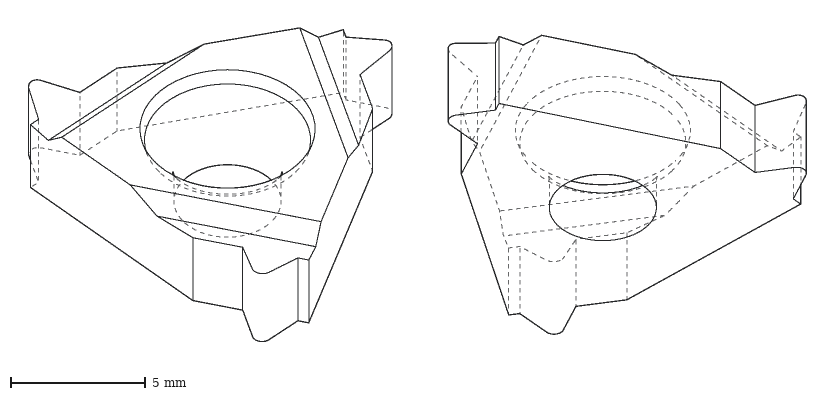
import cadquery as cq
import math

thickness = 3.65
corner_count = 3
corner_angle = 360 / corner_count

side_distance = 4.76
corner_distance = 5.65

tooth_offset = 3.27
tooth_half_width = 1.07
tooth_half_angle = math.radians(30)
tip_radius = 0.37

groove_start = 3.97
groove_bottom = 4.69
groove_depth = 0.63
rake_angle = math.radians(10)
cutter_reach = 8.45

mouth_radius = 3.27
seat_radius = 3.1
bore_radius = 2.0
mouth_depth = 0.56
seat_depth = 2.38


def turn_to_corners(shape):
    """Union of copies of the shape, one turned to each corner."""
    copies = shape
    for index in range(1, corner_count):
        copies = copies.union(shape.rotate((0, 0, 0), (0, 0, 1), index * corner_angle))
    return copies


def make_body():
    """Triangular plate with a flat across each corner."""
    flat_start = math.sqrt(3) * corner_distance - 2 * side_distance
    points = []
    for index in range(corner_count):
        turn = math.radians(index * corner_angle)
        for x in (flat_start, side_distance):
            points.append((
                x * math.cos(turn) + corner_distance * math.sin(turn),
                x * math.sin(turn) - corner_distance * math.cos(turn),
            ))
    return cq.Workplane("XY").polyline(points).close().extrude(thickness)


def make_tooth():
    """Rounded V tooth pointing to -Y, rooted inside the body."""
    sharp_tip_y = -corner_distance - tooth_half_width / math.tan(tooth_half_angle)
    arc_center_y = sharp_tip_y + tip_radius / math.sin(tooth_half_angle)
    tangent_x = tip_radius * math.cos(tooth_half_angle)
    tangent_y = arc_center_y - tip_radius * math.sin(tooth_half_angle)
    return (
        cq.Workplane("XY")
        .moveTo(tooth_offset - tooth_half_width, -groove_bottom)
        .lineTo(tooth_offset - tooth_half_width, -corner_distance)
        .lineTo(tooth_offset - tangent_x, tangent_y)
        .threePointArc(
            (tooth_offset, arc_center_y - tip_radius),
            (tooth_offset + tangent_x, tangent_y),
        )
        .lineTo(tooth_offset + tooth_half_width, -corner_distance)
        .lineTo(tooth_offset + tooth_half_width, -groove_bottom)
        .close()
        .extrude(thickness)
    )


def make_groove_cutter():
    """Prism along X: a steep inner wall, then a rake face rising to the tooth tip."""
    bottom_z = thickness - groove_depth
    outer_z = bottom_z + (cutter_reach - groove_bottom) * math.tan(rake_angle)
    return (
        cq.Workplane("YZ")
        .moveTo(-groove_start, thickness)
        .lineTo(-groove_bottom, bottom_z)
        .lineTo(-cutter_reach, outer_z)
        .lineTo(-cutter_reach, thickness + groove_depth)
        .lineTo(-groove_start, thickness + groove_depth)
        .close()
        .extrude(cutter_reach, both=True)
    )


def make_hole_cutter():
    """Tapered mouth, flared seat that runs tangent into a straight bore."""
    flare_width = seat_radius - bore_radius
    flare_height = seat_depth - mouth_depth
    flare_radius = (flare_width**2 + flare_height**2) / (2 * flare_width)
    half_sweep = math.asin(flare_height / flare_radius) / 2
    bore_top = thickness - seat_depth
    flare_middle = (
        bore_radius + flare_radius * (1 - math.cos(half_sweep)),
        bore_top + flare_radius * math.sin(half_sweep),
    )
    return (
        cq.Workplane("XZ")
        .lineTo(bore_radius, 0)
        .lineTo(bore_radius, bore_top)
        .threePointArc(flare_middle, (seat_radius, thickness - mouth_depth))
        .lineTo(mouth_radius, thickness)
        .lineTo(0, thickness)
        .close()
        .revolve(360, (0, 0, 0), (0, 1, 0))
    )


result = (
    make_body()
    .union(turn_to_corners(make_tooth()))
    .cut(turn_to_corners(make_groove_cutter()))
    .cut(make_hole_cutter())
)